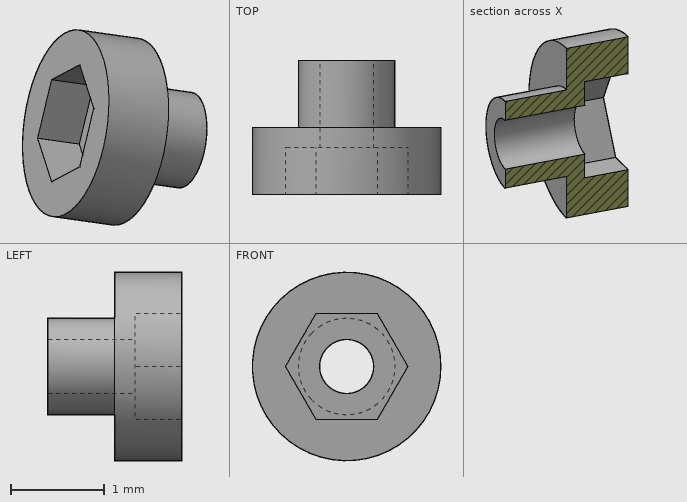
import cadquery as cq
import math

head_diameter = 2.01
head_length = 0.715
total_length = 1.43
shank_diameter = 1.03
bore_diameter = 0.573
hex_across_flats = 1.13
hex_depth = 0.5

shank_length = total_length - head_length
hex_across_corners = hex_across_flats / math.cos(math.radians(30))

face_plane = cq.Plane(origin=(0, 0, 0), xDir=(1, 0, 0), normal=(0, 1, 0))


def sketch_at(depth):
    """Workplane parallel to the head face, at the given depth along +Y."""
    return cq.Workplane(face_plane).workplane(offset=depth)


head = sketch_at(0).circle(head_diameter / 2).extrude(head_length)
shank = sketch_at(head_length).circle(shank_diameter / 2).extrude(shank_length)

socket = sketch_at(0).polygon(6, hex_across_corners).extrude(hex_depth)
bore = sketch_at(0).circle(bore_diameter / 2).extrude(total_length)

result = head.union(shank).cut(socket).cut(bore)